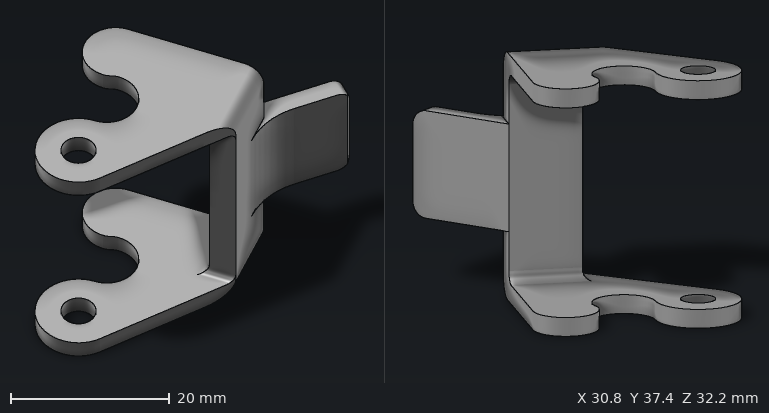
import cadquery as cq
import math

height = 32.2
plate_thickness = 2.47
pivot_hole_diameter = 4.4
pivot_radius = 5.5
slot_radius = 4.05
lobe_radius = 4.23
lobe_x = -1.95
lobe_y = 17.45

wall_outer_x = 16.47
wall_thickness = 3.6
wall_depth = 9.5
bend_radius = 2.65
side_fillet = 1.5
front_fillet = 1.0

tab_width = 14.0
tab_thickness = 2.55
tab_angle = 45.0
tab_reach_y = 10.25
tab_end_x = 24.6
tab_corner_radius = 2.0
tab_root_radius = 10.0

slot_y = pivot_radius + slot_radius
back_y = lobe_y + lobe_radius
wall_inner_x = wall_outer_x - wall_thickness
wall_front_y = back_y - wall_depth
inner_z = height / 2 - plate_thickness
oversize = 4 * back_y


def on_circle(center_x, center_y, radius, angle):
    """Point on a circle at an angle in radians from +X."""
    return (center_x + radius * math.cos(angle), center_y + radius * math.sin(angle))


def make_outline():
    """Plate outline seen along Z, extruded over the whole height."""
    corner_distance = math.hypot(wall_outer_x, wall_front_y)
    flank_angle = math.atan2(wall_front_y, wall_outer_x) - math.acos(pivot_radius / corner_distance)
    slot_top_y = slot_y + slot_radius
    lobe_bottom_y = lobe_y - lobe_radius
    inflection = (lobe_x / 2, (slot_top_y + lobe_bottom_y) / 2)

    outline = (
        cq.Workplane("XY", origin=(0, 0, -height / 2))
        .moveTo(lobe_x, back_y)
        .lineTo(wall_outer_x, back_y)
        .lineTo(wall_outer_x, wall_front_y)
        .lineTo(*on_circle(0, 0, pivot_radius, flank_angle))
        .threePointArc((-pivot_radius, 0), (0, pivot_radius))
        .threePointArc((slot_radius, slot_y), (0, slot_top_y))
        .tangentArcPoint(inflection, relative=False)
        .tangentArcPoint((lobe_x, lobe_bottom_y), relative=False)
        .threePointArc((lobe_x - lobe_radius, lobe_y), (lobe_x, back_y))
        .close()
        .extrude(height)
    )
    hole = cq.Workplane("XY").circle(pivot_hole_diameter / 2).extrude(height, both=True)
    return outline.cut(hole)


def flared_section(plane, face, back, radius):
    """Wall section between the plates; its face flares out with a fillet at both plates."""
    mid_offset = radius * (1 - math.sqrt(0.5))
    return (
        cq.Workplane(plane)
        .moveTo(back, -inner_z)
        .lineTo(face - radius, -inner_z)
        .threePointArc((face - mid_offset, mid_offset - inner_z), (face, radius - inner_z))
        .lineTo(face, inner_z - radius)
        .threePointArc((face - mid_offset, inner_z - mid_offset), (face - radius, inner_z))
        .lineTo(back, inner_z)
        .close()
        .extrude(oversize, both=True)
    )


def make_bracket():
    """Two plates joined by the wall, with rounded outer bends."""
    outline = make_outline()
    envelope = (
        cq.Workplane("XY")
        .box(2 * wall_outer_x, oversize, height)
        .edges("|Y and >X")
        .fillet(bend_radius)
    )
    gap = cq.Workplane("XY").box(oversize, oversize, 2 * inner_z)
    wall = flared_section("XZ", wall_inner_x, wall_outer_x, side_fillet).intersect(
        flared_section("YZ", wall_front_y, back_y, front_fillet)
    )
    plates = outline.cut(gap)
    return plates.union(outline.intersect(wall)).intersect(envelope)


def make_tab():
    """Angled tab, blended into the outer wall face by a large tangent arc."""
    angle = math.radians(tab_angle)
    direction = (math.cos(angle), math.sin(angle))
    length = tab_reach_y / direction[1]
    start_x = wall_inner_x + tab_thickness * direction[1]
    start_y = back_y - tab_thickness * direction[0]
    meet_y = start_y + (wall_outer_x - start_x) * math.tan(angle)
    bend = math.pi / 2 - angle
    tangent_length = tab_root_radius * math.tan(bend / 2)
    root_center = (wall_outer_x + tab_root_radius, meet_y - tangent_length)
    tip = (wall_inner_x + length * direction[0], back_y + tab_reach_y)
    outer_tip = (tip[0] + tab_thickness * direction[1], tip[1] - tab_thickness * direction[0])

    tab = (
        cq.Workplane("XY", origin=(0, 0, -tab_width / 2))
        .moveTo(wall_inner_x, back_y)
        .lineTo(*tip)
        .lineTo(*outer_tip)
        .lineTo(wall_outer_x + tangent_length * direction[0], meet_y + tangent_length * direction[1])
        .threePointArc(
            on_circle(*root_center, tab_root_radius, math.pi - bend / 2),
            (wall_outer_x, meet_y - tangent_length),
        )
        .lineTo(wall_inner_x, meet_y - tangent_length)
        .close()
        .extrude(tab_width)
    )
    tip_middle = ((tip[0] + outer_tip[0]) / 2, (tip[1] + outer_tip[1]) / 2)
    for corner_z in (-tab_width / 2, tab_width / 2):
        corner = cq.selectors.NearestToPointSelector((*tip_middle, corner_z))
        tab = tab.edges(corner).fillet(tab_corner_radius)
    trim = cq.Workplane("XY").box(2 * tab_end_x, oversize, height)
    return tab.intersect(trim)


result = make_bracket().union(make_tab())